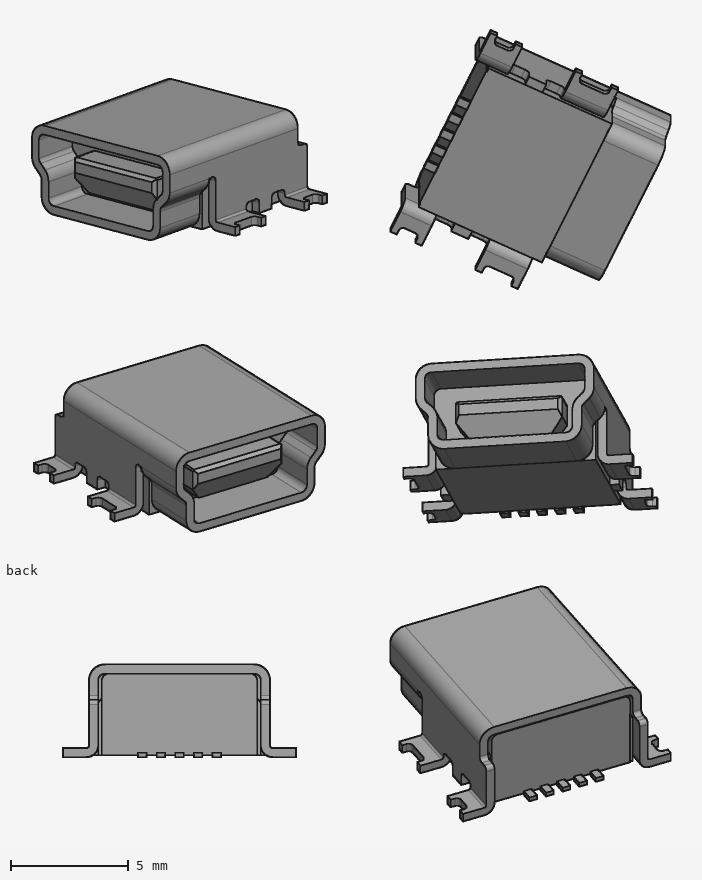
import cadquery as cq
import math


WALL = 0.4
TOTAL_WIDTH = 9.9
TOTAL_DEPTH = 9.0
ROOF_Z = 3.95
FLOOR_Z = 0.08
SHELL_HALF = 3.85
NECK_HALF = 3.32
SHOULDER_Z = 2.16
SHOULDER_ANGLE = 45.0
INNER_RADIUS = 0.3
OUTER_RADIUS = INNER_RADIUS + WALL
INNER_HALF = SHELL_HALF - WALL
CEILING_Z = ROOF_Z - WALL

MOUTH_DEPTH = 2.57
LEG_FRONT_Y = 3.0
ROOF_BACK_Y = 8.38
LEG_TOP_Z = 2.45
CORNER_RADIUS = 0.2

TAB_BEND_RADIUS = 0.1
REAR_TAB_LENGTH = 1.485
FRONT_TAB_LENGTH = 2.0
TAB_SPANS = [
    (LEG_FRONT_Y, LEG_FRONT_Y + FRONT_TAB_LENGTH),
    (TOTAL_DEPTH - REAR_TAB_LENGTH, TOTAL_DEPTH),
]
TAB_PRONG = 0.31
TAB_NOTCH_DEPTH = 0.4
TAB_NOTCH_RADIUS = 0.2
LEG_NOTCH_WIDTH = 0.85
LEG_NOTCH_TOP_Z = 0.75

PLUG_FRONT_Y = 2.18
CORE_HALF = 3.3
CORE_BACK_Y = 8.415
LEDGE_TOP_Z = 2.49
LEDGE_CHAMFER = INNER_HALF - CORE_HALF

TONGUE_FRONT_Y = 0.84
TONGUE_HALF = 2.3
TONGUE_BOTTOM_HALF = 1.77
TONGUE_TOP_Z = 2.49
TONGUE_SIDE_Z = 1.55
TONGUE_BOTTOM_Z = 0.91
TONGUE_CHAMFER = 0.16
TONGUE_CORNER = 0.07
TIP_BOTTOM_Z = 1.85
TIP_SLOPE_DEPTH = 0.48

PIN_COUNT = 5
PIN_PITCH = 0.79
PIN_WIDTH = 0.37
PIN_THICKNESS = 0.2
PIN_BACK_Y = 8.95

MATCH_TOLERANCE = 0.001


def box(x0, x1, y0, y1, z0, z1):
    """Box between two opposite corners."""
    return cq.Workplane("XY").box(x1 - x0, y1 - y0, z1 - z0, centered=False).translate((x0, y0, z0))


def along_y(points, y0, y1):
    """Closed X-Z outline extruded from y0 to y1."""
    return cq.Workplane("XZ", origin=(0, y0, 0)).polyline(points).close().extrude(y0 - y1)


def along_x(points, x0, x1):
    """Closed Y-Z outline extruded from x0 to x1."""
    return cq.Workplane("YZ", origin=(x0, 0, 0)).polyline(points).close().extrude(x1 - x0)


def mirrored(points):
    """Right half of an outline, listed top to bottom, completed with its left half."""
    return points + [(-x, z) for x, z in reversed(points)]


def corner_edges(body, points):
    """Edges along Y that pass through the given X-Z outline points."""
    edges = []
    for edge in body.edges("|Y").vals():
        center = edge.Center()
        if any(math.hypot(center.x - px, center.z - pz) < MATCH_TOLERANCE for px, pz in points):
            edges.append(edge)
    return body.newObject(edges)


def mouth_solid(half, neck_half, top_z, bottom_z, shoulder_z, convex_radius, concave_radius, y0, y1):
    """Bar with the stepped mouth section: wide above, narrow below, sloping shoulders between."""
    neck_z = shoulder_z - (half - neck_half) * math.tan(math.radians(SHOULDER_ANGLE))
    convex = [(half, top_z), (half, shoulder_z), (neck_half, bottom_z)]
    concave = [(neck_half, neck_z)]
    bar = along_y(mirrored([convex[0], convex[1], concave[0], convex[2]]), y0, y1)
    bar = corner_edges(bar, mirrored(convex)).fillet(convex_radius)
    return corner_edges(bar, mirrored(concave)).fillet(concave_radius)


def outer_mouth(y0, y1):
    return mouth_solid(SHELL_HALF, NECK_HALF, ROOF_Z, FLOOR_Z, SHOULDER_Z,
                       OUTER_RADIUS, INNER_RADIUS, y0, y1)


def inner_mouth(y0, y1):
    """Cavity of the mouth: the outer section moved inward by the sheet thickness."""
    shoulder_shift = WALL * math.tan(math.radians(SHOULDER_ANGLE / 2))
    return mouth_solid(INNER_HALF, NECK_HALF - WALL, CEILING_Z, FLOOR_Z + WALL, SHOULDER_Z + shoulder_shift,
                       INNER_RADIUS, OUTER_RADIUS, y0, y1)


def rounded_arch(half, top_z, radius, y0, y1):
    """Bar with upright sides and two rounded upper edges."""
    bar = box(-half, half, y0, y1, FLOOR_Z, top_z)
    return bar.edges("|Y and >Z").fillet(radius)


def top_rounded_cutter(y0, y1, top_z):
    """Cutter across both legs, from the bottom up to a rounded top."""
    cutter = box(-SHELL_HALF, SHELL_HALF, y0, y1, 0, top_z)
    return cutter.edges("|X and >Z").fillet(CORNER_RADIUS)


def make_hood():
    """Roof and side legs behind the mouth, open at the bottom."""
    hood = rounded_arch(SHELL_HALF, ROOF_Z, OUTER_RADIUS, MOUTH_DEPTH, TOTAL_DEPTH)
    hood = hood.cut(rounded_arch(INNER_HALF, CEILING_Z, INNER_RADIUS, MOUTH_DEPTH, TOTAL_DEPTH))

    back_cut = box(-SHELL_HALF, SHELL_HALF, ROOF_BACK_Y, TOTAL_DEPTH, LEG_TOP_Z, ROOF_Z)
    back_cut = back_cut.edges("|X and <Y and <Z").fillet(CORNER_RADIUS)
    hood = hood.cut(back_cut)
    hood = hood.faces(">Y").edges("|X and >Z").fillet(CORNER_RADIUS)

    hood = hood.cut(top_rounded_cutter(MOUTH_DEPTH, LEG_FRONT_Y, LEG_TOP_Z))

    front_notch_y = TAB_SPANS[0][1]
    rear_notch_y = TAB_SPANS[1][0]
    hood = hood.cut(top_rounded_cutter(front_notch_y, front_notch_y + LEG_NOTCH_WIDTH, LEG_NOTCH_TOP_Z))
    return hood.cut(top_rounded_cutter(rear_notch_y - LEG_NOTCH_WIDTH, rear_notch_y, LEG_NOTCH_TOP_Z))


def make_tab(side, y0, y1):
    """Leg foot bent outward into a notched solder tab; side is +1 or -1."""
    bend_top_z = WALL + TAB_BEND_RADIUS
    bend_center_x = SHELL_HALF + TAB_BEND_RADIUS
    bend_outer_radius = TAB_BEND_RADIUS + WALL
    diagonal = math.sqrt(0.5)
    tip_x = TOTAL_WIDTH / 2

    def bend_middle(radius):
        return (side * (bend_center_x - radius * diagonal), bend_top_z - radius * diagonal)

    tab = (
        cq.Workplane("XZ", origin=(0, y0, 0))
        .moveTo(side * INNER_HALF, bend_top_z)
        .threePointArc(bend_middle(bend_outer_radius), (side * bend_center_x, 0))
        .lineTo(side * tip_x, 0)
        .lineTo(side * tip_x, WALL)
        .lineTo(side * bend_center_x, WALL)
        .threePointArc(bend_middle(TAB_BEND_RADIUS), (side * SHELL_HALF, bend_top_z))
        .close()
        .extrude(y0 - y1)
    )
    notch_x = sorted([side * (tip_x - TAB_NOTCH_DEPTH), side * tip_x])
    notch = box(notch_x[0], notch_x[1], y0 + TAB_PRONG, y1 - TAB_PRONG, 0, WALL)
    notch = notch.edges("|Z").edges("<X" if side > 0 else ">X").fillet(TAB_NOTCH_RADIUS)
    return tab.cut(notch)


def make_shell():
    shell = outer_mouth(0, MOUTH_DEPTH).cut(inner_mouth(0, MOUTH_DEPTH))
    shell = shell.union(make_hood())

    for y0, y1 in TAB_SPANS:
        shell = shell.cut(box(-SHELL_HALF, SHELL_HALF, y0, y1, 0, WALL + TAB_BEND_RADIUS))
        for side in (-1, 1):
            shell = shell.union(make_tab(side, y0, y1))
    return shell


def make_tongue():
    """Contact tongue with a lead-in tip, reaching from the insulator toward the mouth."""
    section = mirrored([
        (TONGUE_HALF - TONGUE_CORNER, TONGUE_TOP_Z),
        (TONGUE_HALF, TONGUE_TOP_Z - TONGUE_CORNER),
        (TONGUE_HALF, TONGUE_SIDE_Z),
        (TONGUE_BOTTOM_HALF, TONGUE_BOTTOM_Z),
    ])
    tongue = along_y(section, TONGUE_FRONT_Y, PLUG_FRONT_Y)

    chamfer_y = TONGUE_FRONT_Y + TONGUE_CHAMFER
    side_profile = along_x([
        (TONGUE_FRONT_Y, TONGUE_TOP_Z - TONGUE_CHAMFER),
        (chamfer_y, TONGUE_TOP_Z),
        (PLUG_FRONT_Y, TONGUE_TOP_Z),
        (PLUG_FRONT_Y, TONGUE_BOTTOM_Z),
        (TONGUE_FRONT_Y + TIP_SLOPE_DEPTH, TONGUE_BOTTOM_Z),
        (TONGUE_FRONT_Y, TIP_BOTTOM_Z),
    ], -TONGUE_HALF, TONGUE_HALF)
    plan_profile = (
        cq.Workplane("XY", origin=(0, 0, TONGUE_BOTTOM_Z))
        .polyline(mirrored([
            (TONGUE_HALF, PLUG_FRONT_Y),
            (TONGUE_HALF, chamfer_y),
            (TONGUE_HALF - TONGUE_CHAMFER, TONGUE_FRONT_Y),
        ]))
        .close()
        .extrude(TONGUE_TOP_Z - TONGUE_BOTTOM_Z)
    )
    return tongue.intersect(side_profile).intersect(plan_profile)


def make_insulator():
    """Insulator that closes the back of the mouth, with its tongue and contact tails."""
    plug = inner_mouth(PLUG_FRONT_Y, MOUTH_DEPTH)
    core = rounded_arch(CORE_HALF, CEILING_Z, INNER_RADIUS, MOUTH_DEPTH, CORE_BACK_Y)
    ledge = box(-INNER_HALF, INNER_HALF, MOUTH_DEPTH, ROOF_BACK_Y, FLOOR_Z, LEDGE_TOP_Z)
    ledge = ledge.edges("|Y and >Z").chamfer(LEDGE_CHAMFER)
    insulator = core.union(ledge).union(plug).union(make_tongue())

    for index in range(PIN_COUNT):
        center_x = (index - (PIN_COUNT - 1) / 2) * PIN_PITCH
        tail = box(center_x - PIN_WIDTH / 2, center_x + PIN_WIDTH / 2,
                   CORE_BACK_Y, PIN_BACK_Y, 0, PIN_THICKNESS)
        insulator = insulator.union(tail)
    return insulator


shell = make_shell()
insulator = make_insulator()
result = cq.Compound.makeCompound([shell.solids().val(), insulator.solids().val()])